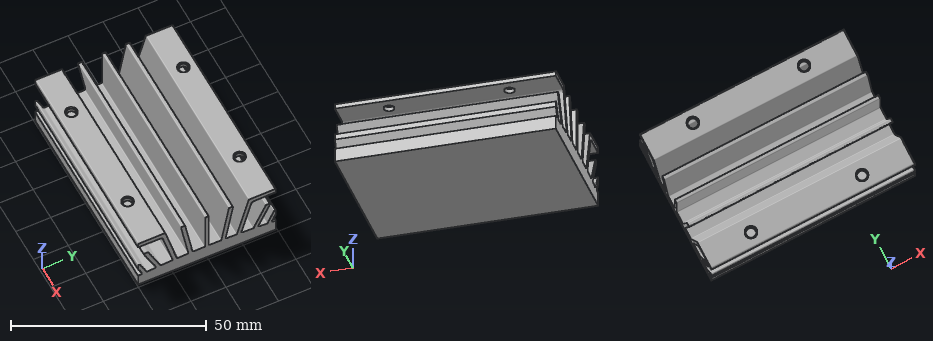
import cadquery as cq
import math

length = 58.7
width = 39.4
height = 17.3
half_width = width / 2

base_edge_height = 3.8
base_crown_height = 4.8

centre_fin_thickness = 1.1
side_fin_thickness = 1.2
inner_fin_top = 17.1
outer_fin_top = 12.1
edge_fin_top = 8.25
fin_foot = 2.0
root_fillet = 0.3
tip_fillet = 0.3

plain_fins = [
    (4.7, 10, inner_fin_top),
    (14.1, 25, outer_fin_top),
    (18.22, 25, edge_fin_top),
]
flange_fin_root = 9.2
flange_fin_lean = 15

flange_thickness = 1.5
flange_underside = height - flange_thickness
flange_corner_fillet = 0.4
flange_bend_fillet = 1.0

hole_diameter = 2.7
hole_chamfer = 0.3
hole_spacing = 32.0

tolerance = 0.01


def extrude_outline(outline):
    """Extrude a closed YZ outline over the full length, centred on X = 0."""
    return outline.extrude(length / 2, both=True)


def fin_face(root, lean, z, side, thickness=side_fin_thickness):
    """Y of a leaning fin's face at height z; side is -1 for inner, +1 for outer."""
    angle = math.radians(lean)
    centre = root + (z - base_crown_height) * math.tan(angle)
    return centre + side * thickness / 2 / math.cos(angle)


def make_base():
    """Flat-bottomed plate whose upper face is a shallow arc."""
    outline = (
        cq.Workplane("YZ")
        .moveTo(-half_width, 0)
        .lineTo(half_width, 0)
        .lineTo(half_width, base_edge_height)
        .threePointArc((0, base_crown_height), (-half_width, base_edge_height))
        .close()
    )
    return extrude_outline(outline)


def make_fin(root, lean, top, thickness=side_fin_thickness):
    """Plain leaning fin with a horizontal top."""
    outline = cq.Workplane("YZ").polyline([
        (fin_face(root, lean, fin_foot, -1, thickness), fin_foot),
        (fin_face(root, lean, fin_foot, 1, thickness), fin_foot),
        (fin_face(root, lean, top, 1, thickness), top),
        (fin_face(root, lean, top, -1, thickness), top),
    ]).close()
    return extrude_outline(outline)


def make_flange_fin():
    """Leaning fin that bends outward into a horizontal mounting flange."""
    root, lean = flange_fin_root, flange_fin_lean
    outline = cq.Workplane("YZ").polyline([
        (fin_face(root, lean, fin_foot, -1), fin_foot),
        (fin_face(root, lean, fin_foot, 1), fin_foot),
        (fin_face(root, lean, flange_underside, 1), flange_underside),
        (half_width, flange_underside),
        (half_width, height),
        (fin_face(root, lean, height, -1), height),
    ]).close()
    return extrude_outline(outline)


def fillet_long_edges(body, radius, is_wanted):
    """Fillet the lengthwise edges whose (|Y|, Z) position satisfies is_wanted."""
    edges = [
        edge for edge in body.edges("|X").vals()
        if is_wanted(abs(edge.Center().y), edge.Center().z)
    ]
    return body.newObject(edges).fillet(radius)


def at_height(z, *heights):
    """True if z matches one of the given heights."""
    return any(abs(z - value) < tolerance for value in heights)


def is_fin_root(y, z):
    on_crown = base_edge_height + tolerance < z < base_crown_height + tolerance
    return on_crown and y < half_width - tolerance


def is_fin_tip(_, z):
    return at_height(z, inner_fin_top, outer_fin_top, edge_fin_top)


def is_flange_top_corner(_, z):
    return at_height(z, height)


def is_flange_bend(y, z):
    return at_height(z, flange_underside) and y < half_width - tolerance


def cut_mounting_holes(body):
    """Drill and countersink two holes through each flange."""
    for x in (-hole_spacing / 2, hole_spacing / 2):
        for y in (-hole_spacing / 2, hole_spacing / 2):
            drill = (
                cq.Workplane("XY", origin=(x, y, flange_underside))
                .circle(hole_diameter / 2)
                .extrude(flange_thickness)
            )
            countersink = (
                cq.Workplane("XY", origin=(x, y, height))
                .circle(hole_diameter / 2 + hole_chamfer)
                .workplane(offset=-hole_chamfer)
                .circle(hole_diameter / 2)
                .loft()
            )
            body = body.cut(drill).cut(countersink)
    return body


def make_sharp_body():
    """Base plate and all fins with sharp corners, trimmed to the overall width."""
    side_fins = [make_flange_fin()]
    for root, lean, top in plain_fins:
        side_fins.append(make_fin(root, lean, top))
    body = make_base().union(make_fin(0, 0, inner_fin_top, centre_fin_thickness))
    for fin in side_fins:
        body = body.union(fin).union(fin.mirror("XZ"))
    envelope = cq.Workplane("XY").box(length, width, height, centered=(True, True, False))
    return body.intersect(envelope)


heat_sink = make_sharp_body()
heat_sink = fillet_long_edges(heat_sink, root_fillet, is_fin_root)
heat_sink = fillet_long_edges(heat_sink, tip_fillet, is_fin_tip)
heat_sink = fillet_long_edges(heat_sink, flange_corner_fillet, is_flange_top_corner)
heat_sink = fillet_long_edges(heat_sink, flange_bend_fillet, is_flange_bend)

result = cut_mounting_holes(heat_sink)